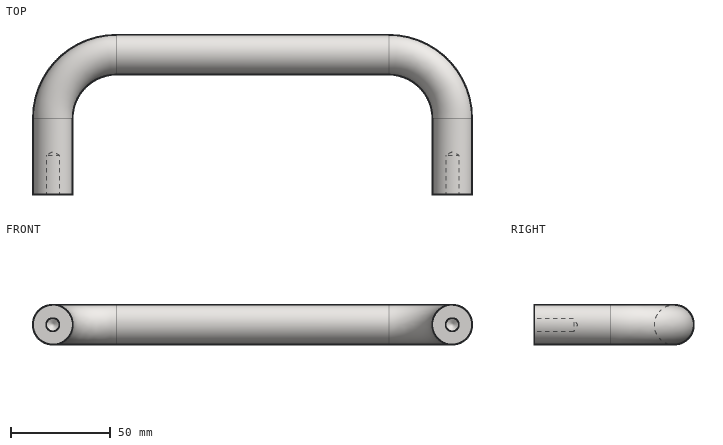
import cadquery as cq
import math

overall_length = 220.0
overall_depth = 80.0
rod_diameter = 20.0
bend_radius = 32.0
hole_diameter = 6.5
hole_depth = 19.8
drill_point_angle = 120.0

leg_x = (overall_length - rod_diameter) / 2
leg_end_y = -overall_depth / 2
grip_y = overall_depth / 2 - rod_diameter / 2
bend_y = grip_y - bend_radius
bend_x = leg_x - bend_radius


def make_rod():
    """Round bar swept along two legs, two quarter bends and the grip."""
    centreline = (
        cq.Workplane("XY")
        .moveTo(-leg_x, leg_end_y)
        .lineTo(-leg_x, bend_y)
        .radiusArc((-bend_x, grip_y), bend_radius)
        .lineTo(bend_x, grip_y)
        .radiusArc((leg_x, bend_y), bend_radius)
        .lineTo(leg_x, leg_end_y)
    )
    section = cq.Workplane("XZ", origin=(-leg_x, leg_end_y, 0)).circle(rod_diameter / 2)
    return section.sweep(centreline)


def make_drilled_hole(x):
    """Blind hole with a conical bottom, running into a leg end along +Y."""
    hole_radius = hole_diameter / 2
    point_length = hole_radius / math.tan(math.radians(drill_point_angle / 2))
    return (
        cq.Workplane("XY", origin=(x, leg_end_y, 0))
        .lineTo(hole_radius, 0)
        .lineTo(hole_radius, hole_depth)
        .lineTo(0, hole_depth + point_length)
        .close()
        .revolve(360, (0, 0, 0), (0, 1, 0))
    )


result = make_rod()
for hole_x in (-leg_x, leg_x):
    result = result.cut(make_drilled_hole(hole_x))